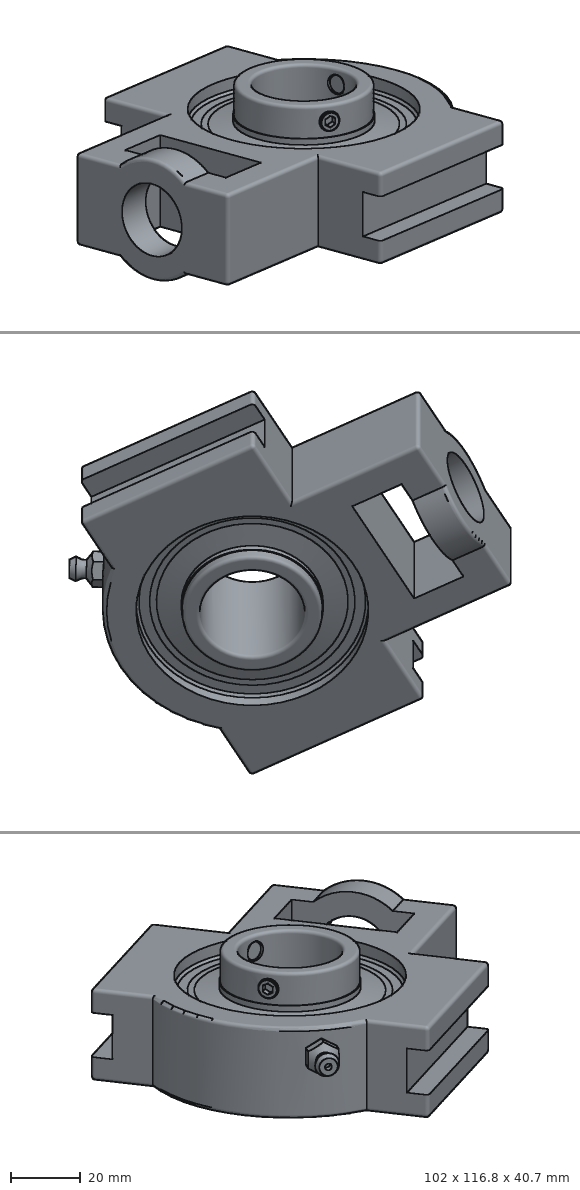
import cadquery as cq
import math


body_height = 28.0
wing_width = 102.0
wing_length = 56.8
hub_radius = 43.0
stem_width = 56.0
stem_end = 69.9
edge_radius = 1.2
groove_height = 13.6
groove_depth = 6.5
window_width = 37.0
window_inner = 42.9
window_outer = 59.0
boss_diameter = 36.9
screw_bore = 22.0

recess_diameter = 66.7
recess_floor_diameter = 65.1
sphere_diameter = 62.0
race_half_width = 9.5
recess_chamfer = (recess_diameter - recess_floor_diameter) / 2

race_bore = 55.1
inner_diameter = 40.2
shaft_bore = 30.2
inner_top = 22.2
inner_bottom = -15.8
shoulder_diameter = 40.8
shoulder_half_length = 12.3
inner_rounding = 1.0
seal_thickness = 2.0
seal_rise = 0.9

set_screw_diameter = 6.0
set_screw_tip = 5.4
set_screw_z = 17.2
set_screw_start = 15.4
set_screw_end = 20.9
set_screw_chamfer = (set_screw_diameter - set_screw_tip) / 2
socket_flats = 3.0
socket_depth = 2.3
set_screw_angles = [90, -30]

nipple_angle = 120
nipple_z = 5.1
nipple_base = 42.8
hex_flats = 9.0
hex_chamfer_angle = 30
hex_height = 3.4
cone_top = 4.9
neck_top = 5.6
head_start = 6.3
head_wide = 8.0
nipple_height = 9.8
neck_diameter = 5.4
head_start_diameter = 5.6
head_diameter = 7.1
grease_hole = 2.0
grease_hole_depth = 2.3


def hexagon_across_corners(flats):
    return flats / math.cos(math.radians(30))


def radial_plane(angle, distance, z):
    """Plane facing away from the bearing axis, with its local Y along the part's Z."""
    a = math.radians(angle)
    return cq.Plane(
        origin=(distance * math.cos(a), distance * math.sin(a), z),
        xDir=(-math.sin(a), math.cos(a), 0),
        normal=(math.cos(a), math.sin(a), 0),
    )


def make_housing():
    half_height = body_height / 2

    wings = cq.Workplane().box(wing_width, wing_length, body_height)
    wings = wings.edges("|Z").fillet(edge_radius)
    stem = (
        cq.Workplane()
        .box(stem_width, stem_end, body_height)
        .translate((0, -stem_end / 2, 0))
    )
    stem = stem.edges("|Z and <Y").fillet(edge_radius)
    hub = cq.Workplane().circle(hub_radius).extrude(half_height, both=True)
    hub = hub.intersect(
        cq.Workplane().box(wing_width, 2 * hub_radius, body_height).translate((0, hub_radius, 0))
    )
    boss = (
        cq.Workplane("XZ", origin=(0, -window_outer, 0))
        .circle(boss_diameter / 2)
        .extrude(stem_end - window_outer)
    )
    housing = wings.union(stem).union(hub).clean()
    housing = housing.faces("|Z").edges().fillet(edge_radius)
    boss = boss.faces("<Y").edges().fillet(edge_radius)
    housing = housing.union(boss)

    groove_x = (wing_width - groove_depth) / 2
    for side in (-1, 1):
        groove = cq.Workplane().box(groove_depth, wing_length, groove_height)
        housing = housing.cut(groove.translate((side * groove_x, 0, 0)))

    window = cq.Workplane().box(window_width, window_outer - window_inner, boss_diameter)
    housing = housing.cut(window.translate((0, -(window_inner + window_outer) / 2, 0)))
    bore = (
        cq.Workplane("XZ", origin=(0, -window_inner, 0))
        .circle(screw_bore / 2)
        .extrude(stem_end - window_inner)
    )
    return housing.cut(bore).cut(make_bearing_space())


def make_bearing_space():
    """Spherical seat that opens into a recess on the upper and the lower face."""
    recess_depth = body_height / 2 - race_half_width
    space = cq.Workplane().sphere(sphere_diameter / 2)
    recess = (
        cq.Workplane(origin=(0, 0, race_half_width))
        .circle(recess_diameter / 2)
        .extrude(recess_depth)
        .faces("<Z")
        .chamfer(recess_chamfer)
    )
    return space.union(recess).union(recess.mirror("XY"))


def make_outer_ring():
    slab = cq.Workplane().circle(sphere_diameter / 2).extrude(race_half_width, both=True)
    ring = cq.Workplane().sphere(sphere_diameter / 2).intersect(slab)
    bore = cq.Workplane().circle(race_bore / 2).extrude(race_half_width, both=True)
    return ring.cut(bore)


def make_inner_ring():
    ring = (
        cq.Workplane(origin=(0, 0, inner_bottom))
        .circle(inner_diameter / 2)
        .circle(shaft_bore / 2)
        .extrude(inner_top - inner_bottom)
        .faces("|Z")
        .edges()
        .fillet(inner_rounding)
    )
    shoulder = (
        cq.Workplane()
        .circle(shoulder_diameter / 2)
        .circle(shaft_bore / 2)
        .extrude(shoulder_half_length, both=True)
    )
    ring = ring.union(shoulder)
    for angle in set_screw_angles:
        hole = (
            cq.Workplane(radial_plane(angle, 0, set_screw_z))
            .circle(set_screw_diameter / 2)
            .extrude(inner_diameter)
        )
        ring = ring.cut(hole)
    return ring


def make_seal():
    """Slightly conical washer that rises from the upper face of the outer ring to the shoulder."""
    outer_radius = race_bore / 2
    inner_radius = shoulder_diameter / 2
    outer_z = race_half_width
    inner_z = outer_z + seal_rise
    return (
        cq.Workplane("XZ")
        .polyline([
            (outer_radius, outer_z),
            (inner_radius, inner_z),
            (inner_radius, inner_z - seal_thickness),
            (outer_radius, outer_z - seal_thickness),
        ])
        .close()
        .revolve(360, (0, 0, 0), (0, 1, 0))
    )


def make_set_screw(angle):
    screw = (
        cq.Workplane(radial_plane(angle, set_screw_start, set_screw_z))
        .circle(set_screw_diameter / 2)
        .extrude(set_screw_end - set_screw_start)
        .edges("%CIRCLE")
        .chamfer(set_screw_chamfer)
    )
    socket = (
        cq.Workplane(radial_plane(angle, set_screw_end - socket_depth, set_screw_z))
        .transformed(rotate=(0, 0, 90))
        .polygon(6, hexagon_across_corners(socket_flats))
        .extrude(socket_depth)
    )
    return screw.cut(socket)


def make_nipple():
    base = radial_plane(nipple_angle, nipple_base, nipple_z)
    lengthwise = cq.Plane(origin=base.origin, xDir=(0, 0, 1), normal=base.xDir)
    flat_radius = hex_flats / 2
    corner_radius = hexagon_across_corners(hex_flats) / 2
    corner_drop = (corner_radius - flat_radius) * math.tan(math.radians(hex_chamfer_angle))
    neck_radius = neck_diameter / 2

    turned = (
        cq.Workplane(lengthwise)
        .polyline([
            (0, 0),
            (corner_radius, 0),
            (corner_radius, hex_height - corner_drop),
            (flat_radius, hex_height),
            (neck_radius, cone_top),
            (neck_radius, neck_top),
            (head_start_diameter / 2, head_start),
            (head_diameter / 2, head_wide),
            (neck_radius, nipple_height),
            (0, nipple_height),
        ])
        .close()
        .revolve(360, (0, 0, 0), (0, 1, 0))
    )
    hexagon = (
        cq.Workplane(base)
        .transformed(rotate=(0, 0, 90))
        .polygon(6, 2 * corner_radius)
        .extrude(nipple_height)
    )
    hole = (
        cq.Workplane(base)
        .workplane(offset=nipple_height - grease_hole_depth)
        .circle(grease_hole / 2)
        .extrude(grease_hole_depth)
    )
    return turned.intersect(hexagon).cut(hole)


nipple = make_nipple()
housing = make_housing().cut(nipple)
outer_ring = make_outer_ring()
inner_ring = make_inner_ring()
upper_seal = make_seal()
seals = [upper_seal, upper_seal.mirror("XY")]
set_screws = [make_set_screw(angle) for angle in set_screw_angles]

bodies = [housing, outer_ring, inner_ring, *seals, *set_screws, nipple]
result = cq.Compound.makeCompound([body.val() for body in bodies])